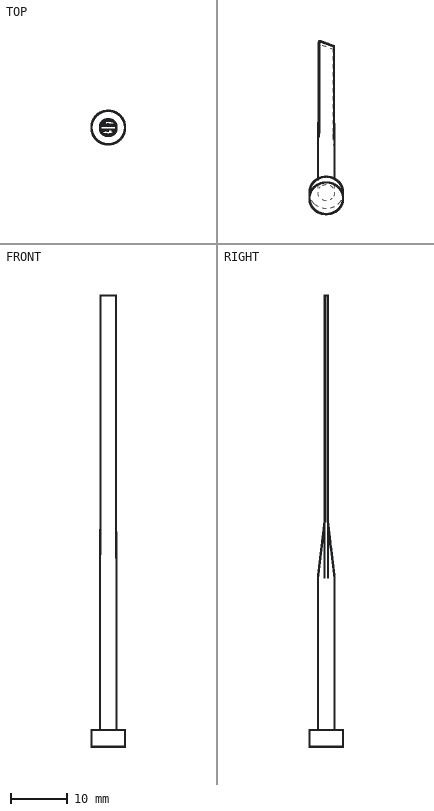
import cadquery as cq
import math

total_length = 80.0
head_diameter = 6.0
head_height = head_diameter / 2
shaft_diameter = head_diameter / 2
shaft_top = 30.0
blade_start = total_length / 2
blade_width = 2.8
blade_thickness = 0.6


def split_circle_wire():
    """Shaft circle cut into four arcs, with two ends level with the blade faces on each side."""
    radius = shaft_diameter / 2
    half_y = blade_thickness / 2
    half_x = math.sqrt(radius**2 - half_y**2)
    outline = (
        cq.Workplane("XY", origin=(0, 0, shaft_top))
        .moveTo(-half_x, -half_y)
        .threePointArc((0, -radius), (half_x, -half_y))
        .threePointArc((radius, 0), (half_x, half_y))
        .threePointArc((0, radius), (-half_x, half_y))
        .threePointArc((-radius, 0), (-half_x, -half_y))
        .close()
    )
    return outline.val()


def blade_wire():
    """Rectangular blade section, starting at the same corner as the split circle."""
    half_x = blade_width / 2
    half_y = blade_thickness / 2
    corners = [(-half_x, -half_y), (half_x, -half_y), (half_x, half_y), (-half_x, half_y)]
    return cq.Workplane("XY", origin=(0, 0, blade_start)).polyline(corners).close().val()


head = cq.Workplane("XY").circle(head_diameter / 2).extrude(head_height)
shaft = cq.Workplane("XY").circle(shaft_diameter / 2).extrude(shaft_top)

transition = cq.Workplane(cq.Solid.makeLoft([split_circle_wire(), blade_wire()], True))

blade = (
    cq.Workplane("XY", origin=(0, 0, blade_start))
    .rect(blade_width, blade_thickness)
    .extrude(total_length - blade_start)
)

result = head.union(shaft).union(transition).union(blade)